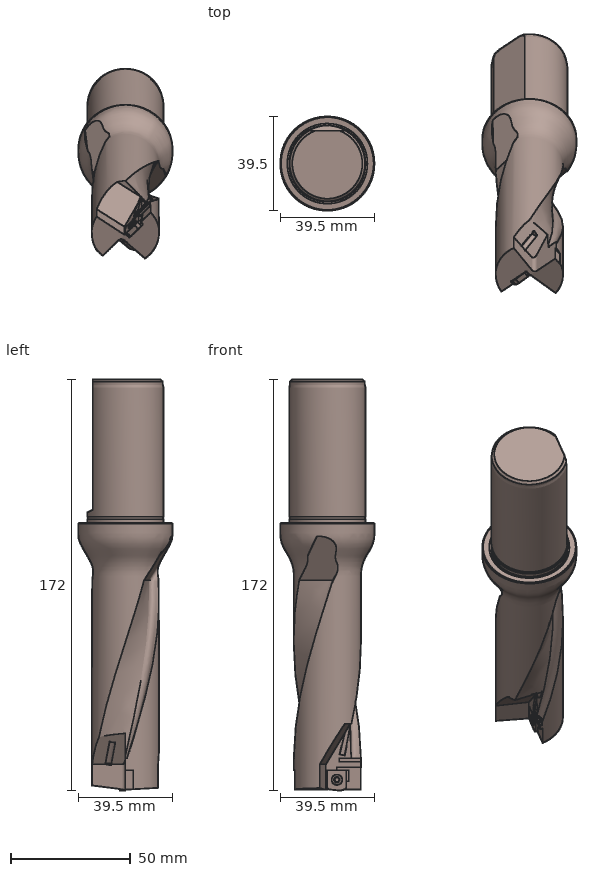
import cadquery as cq

TOTAL_LENGTH = 172.0
SHANK_LENGTH = 60.0
SHANK_DIAMETER = 31.99
GROOVE_DIAMETER = 31.5
FLANGE_DIAMETER = 39.5
BODY_DIAMETER = 28.2
CLEARANCE = 40.0

SHANK_BASE = TOTAL_LENGTH - SHANK_LENGTH
END_CHAMFER_HEIGHT = 1.0
END_CHAMFER_WIDTH = 1.1
END_BAND_DEPTH = 3.4
END_BAND_WIDTH = 1.1
GROOVE_WIDTH = 1.0
GROOVE_ABOVE_FLANGE = 1.5
FLAT_DISTANCE = 13.7
FLAT_BASE = SHANK_BASE + 5.5
FLAT_RUNOUT = 1.5
FLANGE_RIM_HEIGHT = 4.5
FLANGE_RIM_CHAMFER = 0.4
FACE_RING_WIDTH = 0.8
FACE_RING_DEPTH = 0.3
NECK_BASE = 90.0
NECK_WAIST = (16.2, 98.0)

FLUTE_FLOOR = 9.6
FLUTE_WIDTH = 16.0
FLUTE_LEADING_SIDE = 4.5
FLUTE_CORNER_RADIUS = 2.0
FLUTE_TWIST_RATE = 1.3
FLUTE_BASE = 13.7
FLUTE_TOP = 88.0
FLUTE_BASE_ANGLE = 164.1
RUNOUT_HEIGHT = 25.0
RUNOUT_LEAN = 0.56
RUNOUT_SLOPE = 0.55

CENTRE_NOTCH_TOP = 28.0
OUTER_NOTCH_TOP = 24.0
NOTCH_STRAIGHT_HEIGHT = 11.0
NOTCH_OUTER_WALL = 2.5
NOTCH_CENTRE_WALL = 0.6
NOTCH_CENTRE_SKEW = 0.19
NOTCH_CORNER_RADIUS = 1.5
BODY_BASE = 0.4
PLUS_Y_END_RISE = 1.8
MINUS_Y_END_RISE = 0.8

FLANK_WIDTH = 3.3
FLANK_HEIGHT = 8.6
FLANK_X = -13.6
LAND_HEIGHT = 9.8
LAND_DEPTH = 1.0
SLOT_START_X = 5.0
SLOT_BASE = 12.2
SLOT_HEIGHT = 1.5
SLOT_DEPTH = 0.8

INSERT_LEFT = -0.1
INSERT_WIDTH = 8.1
INSERT_TOP = 8.6
INSERT_THICKNESS = 2.4
INSERT_TIP_X = 5.4
INSERT_EDGE_RISE = 0.5
INSERT_CORNER_CHAMFER = 0.8
RELIEF_GAP = 1.0
RELIEF_BASE = 4.0
SCREW_X = 4.0
SCREW_Z = 4.6
SCREW_HEAD_DIAMETER = 4.4
INSERT_HOLE_DIAMETER = 3.2
SCREW_THREAD_DIAMETER = 2.5
SCREW_HEAD_HEIGHT = 1.2
SCREW_LENGTH = 7.0
SOCKET_DIAMETER = 1.7
SOCKET_LOBE_DIAMETER = 0.7
SOCKET_DEPTH = 0.8
SOCKET_LOBES = 6

COOLANT_DIAMETER = 2.5
CENTRE_COOLANT_AXIS = ((6.2, 0.7, 15.0), (9.0, 1.1, 28.0))
OUTER_COOLANT_AXIS = ((-2.2, 7.2, 11.0), (-7.2, 5.4, 20.5))


def block(x_range, y_range, z_range):
    """Box given by its limits along each axis."""
    size = [high - low for low, high in (x_range, y_range, z_range)]
    corner = (x_range[0], y_range[0], z_range[0])
    return cq.Workplane("XY").box(*size, centered=False).translate(corner)


def turned_blank():
    """Shank, flange and drill body before the flutes are cut."""
    shank = SHANK_DIAMETER / 2
    groove = GROOVE_DIAMETER / 2
    flange = FLANGE_DIAMETER / 2
    body = BODY_DIAMETER / 2
    ring = shank + FACE_RING_WIDTH
    groove_base = SHANK_BASE + GROOVE_ABOVE_FLANGE
    rim_base = SHANK_BASE - FLANGE_RIM_HEIGHT
    flange_curve = [NECK_WAIST, (flange, rim_base)]
    band_base = TOTAL_LENGTH - END_BAND_DEPTH
    band_top = band_base + END_BAND_WIDTH
    chamfer_base = TOTAL_LENGTH - END_CHAMFER_HEIGHT

    return (
        cq.Workplane("XZ")
        .moveTo(0, BODY_BASE)
        .lineTo(body, BODY_BASE)
        .lineTo(body, NECK_BASE)
        .spline(flange_curve, tangents=[(0, 1), (0, 1)], includeCurrent=True)
        .lineTo(flange, SHANK_BASE - FLANGE_RIM_CHAMFER)
        .lineTo(flange - FLANGE_RIM_CHAMFER, SHANK_BASE)
        .lineTo(ring, SHANK_BASE)
        .lineTo(ring, SHANK_BASE - FACE_RING_DEPTH)
        .lineTo(shank, SHANK_BASE - FACE_RING_DEPTH)
        .lineTo(shank, groove_base)
        .lineTo(groove, groove_base)
        .lineTo(groove, groove_base + GROOVE_WIDTH)
        .lineTo(shank, groove_base + GROOVE_WIDTH)
        .lineTo(shank, band_base)
        .lineTo(groove, band_top)
        .lineTo(groove, chamfer_base)
        .lineTo(groove - END_CHAMFER_WIDTH, TOTAL_LENGTH)
        .lineTo(0, TOTAL_LENGTH)
        .close()
        .revolve(360, (0, 0, 0), (0, 1, 0))
    )


def clamping_flat():
    """Cutter for the flat on the +Y side of the shank, with a sloped runout."""
    return (
        cq.Workplane("YZ")
        .moveTo(FLAT_DISTANCE, TOTAL_LENGTH + 1)
        .lineTo(FLAT_DISTANCE, FLAT_BASE)
        .lineTo(FLAT_DISTANCE + 2 * FLAT_RUNOUT, FLAT_BASE - FLAT_RUNOUT)
        .lineTo(FLAT_DISTANCE + 2 * FLAT_RUNOUT, TOTAL_LENGTH + 1)
        .close()
        .extrude(SHANK_DIAMETER, both=True)
    )


def flute_section(angle, height):
    """Slot section whose floor faces outwards along the given direction."""
    radial_reach = CLEARANCE - FLUTE_FLOOR
    section = (
        cq.Sketch()
        .push([(FLUTE_FLOOR + radial_reach / 2, FLUTE_LEADING_SIDE - FLUTE_WIDTH / 2)])
        .rect(radial_reach, FLUTE_WIDTH)
        .reset()
        .vertices("<X and >Y")
        .fillet(FLUTE_CORNER_RADIUS)
    )
    plane = cq.Workplane("XY", origin=(0, 0, height)).transformed(rotate=(0, 0, angle))
    return plane.placeSketch(section)


def flute():
    """Cutter for one flute: a helical slot that runs out through the flange."""
    height = FLUTE_TOP - FLUTE_BASE
    twist = FLUTE_TWIST_RATE * height
    helix = flute_section(FLUTE_BASE_ANGLE, FLUTE_BASE).twistExtrude(height, twist)

    top_angle = FLUTE_BASE_ANGLE + twist
    start = cq.Vector(0, 0, FLUTE_TOP)
    lean = cq.Vector(RUNOUT_SLOPE, RUNOUT_LEAN, 1).multiply(RUNOUT_HEIGHT)
    path = cq.Workplane(cq.Edge.makeLine(start, start + lean))
    runout = flute_section(0, FLUTE_TOP).sweep(path)
    return helix.union(runout.rotate((0, 0, 0), (0, 0, 1), top_angle))


def notch(wall_x, top, skew):
    """Cutter for a tip notch on the +X, -Y side, with a floor that slopes up to the flute."""
    profile = (
        cq.Workplane("XZ")
        .moveTo(wall_x, -1)
        .lineTo(wall_x, NOTCH_STRAIGHT_HEIGHT)
        .lineTo(FLUTE_FLOOR, top)
        .lineTo(CLEARANCE, top)
        .lineTo(CLEARANCE, -1)
        .close()
    )
    sweep = cq.Vector(-skew, -1, 0).multiply(CLEARANCE)
    face = cq.Face.makeFromWires(profile.wires().val())
    return cq.Workplane(cq.Solid.extrudeLinear(face, sweep))


def half_turn(shape):
    return shape.rotate((0, 0, 0), (0, 0, 1), 180)


def outer_notch():
    """Notch on the -X, +Y side, with a rounded inner corner."""
    cutter = half_turn(notch(NOTCH_OUTER_WALL, OUTER_NOTCH_TOP, 0))
    corner = cq.selectors.NearestToPointSelector((-NOTCH_OUTER_WALL, 0, NOTCH_STRAIGHT_HEIGHT / 2))
    return cutter.edges(corner).fillet(NOTCH_CORNER_RADIUS)


def end_relief():
    """Cutter that slopes the end face up from the axis towards +Y and -Y."""
    rim = BODY_DIAMETER / 2
    return (
        cq.Workplane("YZ")
        .moveTo(-rim, 0)
        .lineTo(-rim, BODY_BASE + MINUS_Y_END_RISE)
        .lineTo(0, BODY_BASE)
        .lineTo(rim, BODY_BASE + PLUS_Y_END_RISE)
        .lineTo(rim, 0)
        .close()
        .extrude(CLEARANCE, both=True)
    )


def outer_flank():
    """Narrow flat on the -X side below the outer cutting face."""
    return block((-CLEARANCE, FLANK_X), (-FLANK_WIDTH, 0), (-1, FLANK_HEIGHT))


def land_recess():
    """Recessed land beside the centre insert and the slot above it."""
    land = block((SCREW_X, CLEARANCE), (0, LAND_DEPTH), (-1, LAND_HEIGHT))
    slot_top = SLOT_BASE + SLOT_HEIGHT
    return land.union(block((SLOT_START_X, CLEARANCE), (0, SLOT_DEPTH), (SLOT_BASE, slot_top)))


def centre_seat():
    """Pocket that fits the centre insert, with a relief beside its upper corner."""
    right = INSERT_LEFT + INSERT_WIDTH
    relief = block((SCREW_X, right + RELIEF_GAP), (0, INSERT_THICKNESS), (RELIEF_BASE, INSERT_TOP))
    return block((INSERT_LEFT, right), (0, INSERT_THICKNESS), (-1, INSERT_TOP)).union(relief)


def coolant_hole(start, end):
    axis = cq.Vector(*end) - cq.Vector(*start)
    return cq.Workplane(cq.Solid.makeCylinder(COOLANT_DIAMETER / 2, axis.Length, cq.Vector(*start), axis))


def screw_blank():
    """Screw with a tapered head, its axis along Y and its head flush with the insert face."""
    head = SCREW_HEAD_DIAMETER / 2
    neck = INSERT_HOLE_DIAMETER / 2
    thread = SCREW_THREAD_DIAMETER / 2
    return (
        cq.Workplane("XY", origin=(SCREW_X, 0, SCREW_Z))
        .lineTo(head, 0)
        .lineTo(neck, SCREW_HEAD_HEIGHT)
        .lineTo(thread, SCREW_HEAD_HEIGHT)
        .lineTo(thread, SCREW_LENGTH)
        .lineTo(0, SCREW_LENGTH)
        .close()
        .revolve(360, (0, 0, 0), (0, 1, 0))
    )


def screw_socket():
    """Six-lobed driver socket."""
    face = cq.Workplane("XZ", origin=(SCREW_X, 0, SCREW_Z))
    core = face.circle(SOCKET_DIAMETER / 2).extrude(-SOCKET_DEPTH)
    lobes = (
        face.polarArray(SOCKET_DIAMETER / 2, 0, 360, SOCKET_LOBES)
        .circle(SOCKET_LOBE_DIAMETER / 2)
        .extrude(-SOCKET_DEPTH)
    )
    return core.union(lobes)


def insert_blank():
    """Square insert whose lower cutting edge comes to a shallow point."""
    right = INSERT_LEFT + INSERT_WIDTH
    return (
        cq.Workplane("XZ")
        .moveTo(INSERT_LEFT, INSERT_TOP)
        .lineTo(INSERT_LEFT, INSERT_EDGE_RISE + INSERT_CORNER_CHAMFER)
        .lineTo(INSERT_LEFT + INSERT_CORNER_CHAMFER, INSERT_EDGE_RISE)
        .lineTo(INSERT_TIP_X, 0)
        .lineTo(right - INSERT_CORNER_CHAMFER, INSERT_EDGE_RISE)
        .lineTo(right, INSERT_EDGE_RISE + INSERT_CORNER_CHAMFER)
        .lineTo(right, INSERT_TOP)
        .close()
        .extrude(-INSERT_THICKNESS)
    )


def insert_hole():
    """Clearance hole through the insert, with a taper that seats the screw head."""
    bore = (
        cq.Workplane("XZ", origin=(SCREW_X, 0, SCREW_Z))
        .circle(INSERT_HOLE_DIAMETER / 2)
        .extrude(-INSERT_THICKNESS)
    )
    return bore.union(screw_blank())


drill_body = turned_blank().cut(clamping_flat())
drill_body = drill_body.cut(flute()).cut(half_turn(flute()))
drill_body = drill_body.cut(outer_notch()).cut(notch(-NOTCH_CENTRE_WALL, CENTRE_NOTCH_TOP, NOTCH_CENTRE_SKEW))
drill_body = drill_body.cut(end_relief()).cut(outer_flank()).cut(land_recess()).cut(centre_seat())
for hole_start, hole_end in (CENTRE_COOLANT_AXIS, OUTER_COOLANT_AXIS):
    drill_body = drill_body.cut(coolant_hole(hole_start, hole_end))
drill_body = drill_body.cut(screw_blank())

centre_insert = insert_blank().cut(insert_hole())

insert_screw = screw_blank().cut(screw_socket())

result = cq.Compound.makeCompound([drill_body.val(), centre_insert.val(), insert_screw.val()])